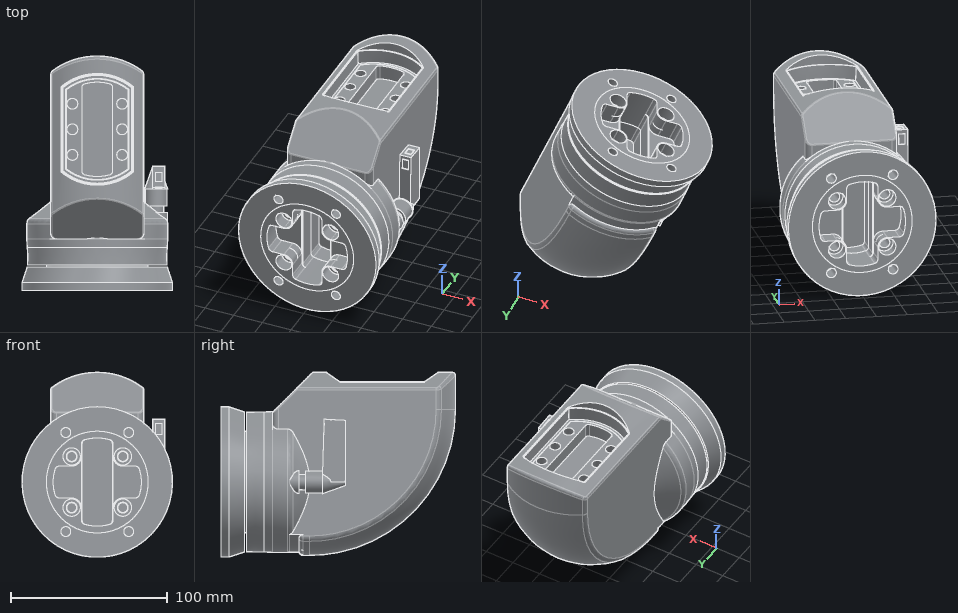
import cadquery as cq
import math


RING_RADIUS = 48.0
RING_THICKNESS = 15.1
RING_RIM_WIDTH = 5.1
RING_TAPER_RADIUS = 44.7
RING_HOLE_RADIUS = 3.1
RING_HOLE_X = 20.0
RING_HOLE_Z = 31.5

HUB_RADIUS = 32.5
HUB_LENGTH = 27.5
HUB_REAR_RADIUS = 44.7
HUB_FRONT_RADIUS = 44.5
HUB_GAP = 1.0
HUB_COLLAR_START = RING_THICKNESS + HUB_GAP
HUB_EDGE_CHAMFER = 0.3

CROSS_END_RADIUS = 28.1
CROSS_HALF_WIDTH = 10.2
CROSS_ARM_DEPTH = 14.0
CROSS_END_FILLET = 3.0
CABLE_SLOT_HALF_WIDTH = 9.5
CABLE_SLOT_FILLET = 2.4
CABLE_SLOT_LEDGE_DEPTH = 14.7
CABLE_SLOT_END = 40.0

SCREW_OFFSET = 16.3
SCREW_HEAD_RADIUS = 5.5
SCREW_HEAD_DEPTH = 9.0
SCREW_RADIUS = 3.5
SCREW_THREAD_RADIUS = 3.1
SCREW_THREAD_DEPTH = 9.0
CROSS_INNER_FILLET = SCREW_OFFSET - CROSS_HALF_WIDTH

LENGTH = 149.5
TOP_Z = 70.0
ELBOW_HALF_WIDTH = 29.8
CROWN_RADIUS = 48.0
CROWN_SAG = CROWN_RADIUS - math.sqrt(CROWN_RADIUS**2 - ELBOW_HALF_WIDTH**2)
BEND_RADIUS = 93.0
BEND_Y = LENGTH - BEND_RADIUS
BEND_Z = 46.2
NECK_FRONT = 32.7
SLOPE_START_Z = 44.3
SLOPE_RISE = TOP_Z - SLOPE_START_Z
HEEL_FRONT = 49.6
HEEL_FILLET = 2.7
NECK_FILLET = 3.9
BACK_FILLET = 4.2
TOP_FILLET = 2.1
SLOPE_FILLET = 0.9

SHOULDER_RADIUS = 45.0
SHOULDER_END = 44.7
SHOULDER_FILLET = 4.5
BRIDGE_RADIUS = 44.8
CONE_TIP_RADIUS = 15.0
CONE_RISE_PER_RADIUS = 0.78

SEAT_Y = 102.7
SEAT_Z = 55.0
SEAT_RISE = 0.6
SEAT_CHAMFER = 0.5
RECESS_RADIUS = 35.6
RECESS_HALF_WIDTH = 23.2
RECESS_LEDGE_Z = 63.5
RECESS_FLOOR_INSET = 1.2
RECESS_TAPER = 3.5
SEAT_HALF_WIDTH = 20.2
SEAT_POCKET_RADIUS = 30.0
SEAT_POCKET_HALF_WIDTH = 9.7
SEAT_POCKET_DEPTH = 10.0
SEAT_POCKET_FILLET = 2.2
SEAT_HOLE_X = 15.8
SEAT_HOLE_PITCH = 16.3
SEAT_HOLE_RADIUS = 3.5
SEAT_HOLE_DEPTH = 9.0

PLUG_X = 37.5
SOCKET_RADIUS = 7.3
SOCKET_END = 49.8
PLUG_NECK_RADIUS = 5.0
PLUG_NECK_END = 53.8
PLUG_BARREL_RADIUS = 7.0
PLUG_BARREL_END = 64.6
PLUG_BASE_RADIUS = 7.5
PLUG_BACK = 79.2
PLUG_BACK_RADIUS = 2.2
PLUG_ARM_X = 39.2
PLUG_ARM_WIDTH = 7.8
PLUG_ARM_TOP = 40.0
PLUG_ARM_LEAN = 1.2
PLUG_ARM_TOP_DROP = 0.7
PLUG_WINDOW_WIDTH = 4.2
PLUG_WINDOW_DEPTH = 0.5
PLUG_FRONT_WINDOW_Z = 33.8
PLUG_FRONT_WINDOW_HEIGHT = 6.9
PLUG_TOP_WINDOW_Y = 72.4
PLUG_TOP_WINDOW_LENGTH = 5.5


def facing_y(y):
    """A plane across the flange axis: local x is X, local y is Z, and positive extrusion runs towards -Y."""
    return cq.Workplane("XZ", origin=(0, y, 0))


def disc(radius, start, end, x=0.0, z=0.0):
    return facing_y(start).center(x, z).circle(radius).extrude(start - end)


def turned(points):
    """A solid turned about the Y axis from (radius, y) points."""
    profile = [(y, radius) for radius, y in points]
    return cq.Workplane("YZ").polyline(profile).close().revolve(360, (0, 0, 0), (1, 0, 0))


def four_places(x, z):
    return [(x, z), (-x, z), (x, -z), (-x, -z)]


def barrel_slot(work, half_width, radius):
    """A circle with both sides cut off straight; the long axis is the local y axis."""
    corner = math.sqrt(radius**2 - half_width**2)
    return (
        work.moveTo(-half_width, -corner)
        .threePointArc((0, -radius), (half_width, -corner))
        .lineTo(half_width, corner)
        .threePointArc((0, radius), (-half_width, corner))
        .close()
    )


def upright_slot(half_width, fillet, start, end):
    """Upright slot with rounded corners, running along Y."""
    slot = barrel_slot(facing_y(start), half_width, CROSS_END_RADIUS).extrude(start - end)
    return slot.edges("|Y").fillet(fillet)


def make_ring():
    ring = turned(
        [
            (HUB_RADIUS, 0),
            (RING_RADIUS, 0),
            (RING_RADIUS, RING_RIM_WIDTH),
            (RING_TAPER_RADIUS, RING_THICKNESS),
            (HUB_RADIUS, RING_THICKNESS),
        ]
    )
    for x, z in four_places(RING_HOLE_X, RING_HOLE_Z):
        ring = ring.cut(disc(RING_HOLE_RADIUS, 0, RING_THICKNESS, x, z))
    return ring


def cross_pocket():
    """Two crossing slots whose inner corners curve around the screw heads."""
    upright = upright_slot(CROSS_HALF_WIDTH, CROSS_END_FILLET, 0, CROSS_ARM_DEPTH)
    across = upright.rotate((0, 0, 0), (0, 1, 0), 90)
    reach = (CROSS_HALF_WIDTH + SCREW_OFFSET) / 2
    corners = cq.selectors.BoxSelector((-reach, 0, -reach), (reach, CROSS_ARM_DEPTH, reach))
    return upright.union(across).edges("|Y").edges(corners).fillet(CROSS_INNER_FILLET)


def make_hub():
    hub = turned(
        [
            (0, 0),
            (HUB_RADIUS, 0),
            (HUB_RADIUS, HUB_COLLAR_START),
            (HUB_FRONT_RADIUS - HUB_EDGE_CHAMFER, HUB_COLLAR_START),
            (HUB_FRONT_RADIUS, HUB_COLLAR_START + HUB_EDGE_CHAMFER),
            (HUB_REAR_RADIUS, HUB_LENGTH),
            (0, HUB_LENGTH),
        ]
    )
    hub = hub.cut(cross_pocket())
    hub = hub.cut(upright_slot(CROSS_HALF_WIDTH, CROSS_END_FILLET, 0, CABLE_SLOT_LEDGE_DEPTH))
    hub = hub.cut(upright_slot(CABLE_SLOT_HALF_WIDTH, CABLE_SLOT_FILLET, CABLE_SLOT_LEDGE_DEPTH, HUB_LENGTH))
    for x, z in four_places(SCREW_OFFSET, SCREW_OFFSET):
        hub = hub.cut(disc(SCREW_HEAD_RADIUS, 0, SCREW_HEAD_DEPTH, x, z))
        hub = hub.cut(disc(SCREW_RADIUS, SCREW_HEAD_DEPTH, HUB_LENGTH, x, z))
    return hub


def crowned_outline(work, base, tip):
    """Elbow width with a straight base and a crowned far end, along the local y axis."""
    direction = math.copysign(1, tip - base)
    corner = tip - direction * CROWN_SAG
    return (
        work.moveTo(-ELBOW_HALF_WIDTH, base)
        .lineTo(-ELBOW_HALF_WIDTH, corner)
        .threePointArc((0, tip), (ELBOW_HALF_WIDTH, corner))
        .lineTo(ELBOW_HALF_WIDTH, base)
        .close()
    )


def make_elbow():
    bend_plane = cq.Workplane("XY", origin=(0, 0, BEND_Z))
    bend = crowned_outline(bend_plane, BEND_Y, LENGTH).revolve(90, (1.5, BEND_Y, 0), (-1.5, BEND_Y, 0))
    back = crowned_outline(bend_plane, BEND_Y, LENGTH).extrude(TOP_Z - BEND_Z)
    heel = crowned_outline(facing_y(HEEL_FRONT), BEND_Z, BEND_Z - BEND_RADIUS).extrude(HEEL_FRONT - BEND_Y)
    width = 2 * ELBOW_HALF_WIDTH
    neck = cq.Workplane("XY").box(width, BEND_Y - NECK_FRONT, TOP_Z, centered=(True, False, False))
    neck = neck.translate((0, NECK_FRONT, 0))
    crown = crowned_outline(facing_y(0), BEND_Z - BEND_RADIUS, TOP_Z).extrude(-LENGTH)
    slope = (
        cq.Workplane("YZ", origin=(-ELBOW_HALF_WIDTH, 0, 0))
        .polyline([(NECK_FRONT, SLOPE_START_Z), (NECK_FRONT + SLOPE_RISE, TOP_Z), (NECK_FRONT, TOP_Z)])
        .close()
        .extrude(width)
    )
    return bend.union(back).union(heel).union(neck).intersect(crown).cut(slope)


def fillet_sides(body, radius, y, z):
    """Rounds the two mirrored edges whose centres lie nearest to (y, z) on the flat sides."""
    left = body.edges(cq.NearestToPointSelector((-ELBOW_HALF_WIDTH, y, z)))
    right = body.edges(cq.NearestToPointSelector((ELBOW_HALF_WIDTH, y, z)))
    return left.add(right).fillet(radius)


def round_elbow(elbow):
    """Rounds the neck corners, the crowned edges, the rim of the sloped face and the heel."""
    half_bend = BEND_RADIUS * math.sqrt(0.5)
    slope_middle = (0, NECK_FRONT + SLOPE_RISE / 2, SLOPE_START_Z + SLOPE_RISE / 2)
    elbow = fillet_sides(elbow, NECK_FILLET, NECK_FRONT, SLOPE_START_Z / 2)
    elbow = fillet_sides(elbow, BACK_FILLET, BEND_Y + half_bend, BEND_Z - half_bend)
    elbow = fillet_sides(elbow, TOP_FILLET, (BEND_Y + LENGTH) / 2, TOP_Z - CROWN_SAG)
    elbow = elbow.faces(cq.NearestToPointSelector(slope_middle)).edges().fillet(SLOPE_FILLET)
    heel_edge = cq.NearestToPointSelector((0, HEEL_FRONT, BEND_Z - BEND_RADIUS))
    return elbow.edges(heel_edge).fillet(HEEL_FILLET)


def make_bridge():
    """Round floor that fills the corner between the heel of the elbow and the shoulder."""
    plate = cq.Workplane("XY").box(2 * ELBOW_HALF_WIDTH, BEND_Y, TOP_Z, centered=(True, False, False))
    plate = plate.translate((0, 0, -TOP_Z))
    return disc(BRIDGE_RADIUS, NECK_FRONT, BEND_Y).intersect(plate)


def make_shoulder():
    cone_length = CONE_RISE_PER_RADIUS * (SHOULDER_RADIUS - CONE_TIP_RADIUS)
    shoulder = turned(
        [
            (0, HUB_LENGTH),
            (HUB_REAR_RADIUS, HUB_LENGTH),
            (SHOULDER_RADIUS, NECK_FRONT),
            (SHOULDER_RADIUS, SHOULDER_END),
            (CONE_TIP_RADIUS, SHOULDER_END + cone_length),
            (0, SHOULDER_END + cone_length),
        ]
    )
    shoulder = shoulder.edges(cq.NearestToPointSelector((0, SHOULDER_END, 0))).fillet(SHOULDER_FILLET)
    return shoulder.union(disc(SOCKET_RADIUS, SHOULDER_END - SHOULDER_FILLET / 2, SOCKET_END, PLUG_X))


def crown_recess():
    """Tapered recess in the crown, less the raised seat, plus the cable pocket and holes in the seat."""

    def level(z):
        return cq.Workplane("XY", origin=(0, SEAT_Y, z))

    floor = SEAT_Z - SEAT_RISE
    mouth = barrel_slot(level(RECESS_LEDGE_Z), RECESS_HALF_WIDTH, RECESS_RADIUS)
    mouth = mouth.extrude(TOP_Z - RECESS_LEDGE_Z)
    floor_half_width = RECESS_HALF_WIDTH - RECESS_FLOOR_INSET
    recess = barrel_slot(level(floor), floor_half_width, RECESS_RADIUS - RECESS_FLOOR_INSET)
    recess = recess.extrude(RECESS_LEDGE_Z - floor, taper=-RECESS_TAPER).union(mouth)
    seat = barrel_slot(level(floor), SEAT_HALF_WIDTH, HUB_RADIUS).extrude(SEAT_RISE)
    seat = seat.faces(">Z").chamfer(SEAT_CHAMFER)
    pocket = barrel_slot(level(SEAT_Z), SEAT_POCKET_HALF_WIDTH, SEAT_POCKET_RADIUS)
    pocket = pocket.extrude(-SEAT_POCKET_DEPTH).edges("|Z").fillet(SEAT_POCKET_FILLET)
    holes = (
        level(SEAT_Z)
        .rarray(2 * SEAT_HOLE_X, SEAT_HOLE_PITCH, 2, 3)
        .circle(SEAT_HOLE_RADIUS)
        .extrude(-SEAT_HOLE_DEPTH)
    )
    return recess.cut(seat).union(pocket).union(holes)


def make_housing(plug):
    """Elbow and shoulder as one body, cleared where the plug sits against the shoulder cone."""
    housing = round_elbow(make_elbow()).union(make_bridge()).union(make_shoulder())
    housing = housing.cut(crown_recess())
    housing = housing.cut(upright_slot(CABLE_SLOT_HALF_WIDTH, CABLE_SLOT_FILLET, HUB_LENGTH, CABLE_SLOT_END))
    for x, z in four_places(SCREW_OFFSET, SCREW_OFFSET):
        housing = housing.cut(disc(SCREW_THREAD_RADIUS, HUB_LENGTH, HUB_LENGTH + SCREW_THREAD_DEPTH, x, z))
    return housing.cut(plug)


def plug_arm():
    """Upright arm of the plug, with a shallow window in its leaning front and one in its sloped top."""
    front_y = PLUG_BARREL_END + PLUG_ARM_LEAN
    back_z = PLUG_ARM_TOP - PLUG_ARM_TOP_DROP

    def prism(points, width):
        profile = cq.Workplane("YZ", origin=(PLUG_ARM_X, 0, 0)).polyline(points).close()
        return profile.extrude(width / 2, both=True)

    def front(z):
        return PLUG_BARREL_END + PLUG_ARM_LEAN * z / PLUG_ARM_TOP

    def top(y):
        return PLUG_ARM_TOP - PLUG_ARM_TOP_DROP * (y - front_y) / (PLUG_BACK - front_y)

    outline = [(PLUG_BARREL_END, 0), (PLUG_BACK, 0), (PLUG_BACK, back_z), (front_y, PLUG_ARM_TOP)]
    low = PLUG_FRONT_WINDOW_Z - PLUG_FRONT_WINDOW_HEIGHT / 2
    high = PLUG_FRONT_WINDOW_Z + PLUG_FRONT_WINDOW_HEIGHT / 2
    near = PLUG_TOP_WINDOW_Y - PLUG_TOP_WINDOW_LENGTH / 2
    far = PLUG_TOP_WINDOW_Y + PLUG_TOP_WINDOW_LENGTH / 2
    depth = PLUG_WINDOW_DEPTH
    front_window = [
        (front(low), low),
        (front(high), high),
        (front(high) + depth, high),
        (front(low) + depth, low),
    ]
    top_window = [(near, top(near)), (far, top(far)), (far, top(far) - depth), (near, top(near) - depth)]
    arm = prism(outline, PLUG_ARM_WIDTH)
    arm = arm.cut(prism(front_window, PLUG_WINDOW_WIDTH))
    return arm.cut(prism(top_window, PLUG_WINDOW_WIDTH))


def make_plug():
    plug = turned(
        [
            (0, SOCKET_END),
            (PLUG_NECK_RADIUS, SOCKET_END),
            (PLUG_NECK_RADIUS, PLUG_NECK_END),
            (PLUG_BARREL_RADIUS, PLUG_NECK_END),
            (PLUG_BARREL_RADIUS, PLUG_BARREL_END),
            (PLUG_BASE_RADIUS, PLUG_BARREL_END),
            (PLUG_BACK_RADIUS, PLUG_BACK),
            (0, PLUG_BACK),
        ]
    )
    return plug.translate((PLUG_X, 0, 0)).union(plug_arm())


plug = make_plug()
housing = make_housing(plug)
ring = make_ring()
hub = make_hub()
result = cq.Compound.makeCompound([housing.val(), ring.val(), hub.val(), plug.val()])